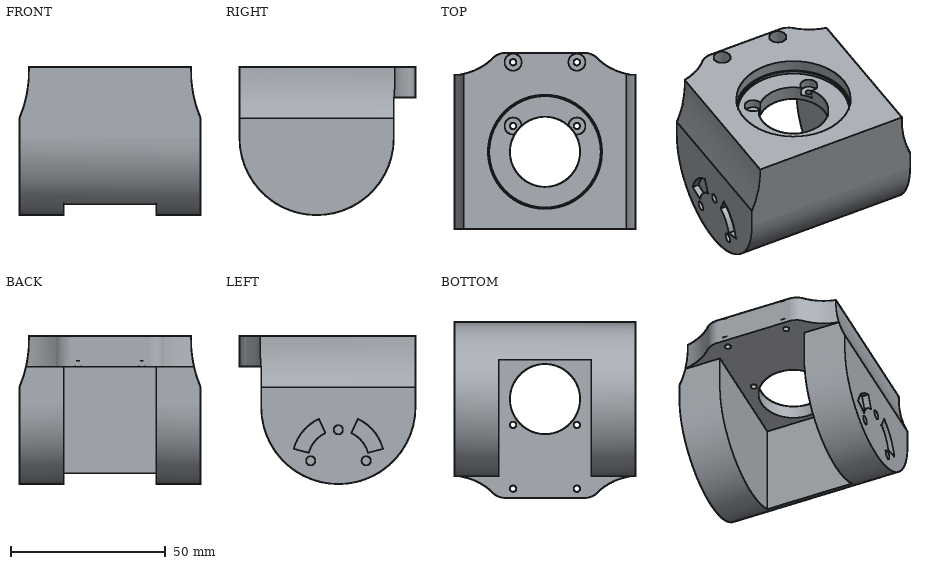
import cadquery as cq
import math

width = 58.6
depth = 50.0
height = 48.0
round_radius = depth / 2
center_y = depth / 2

top_half_width = 26.25
flank_mid_half_width = 26.95
flank_mid_z = 39.0
flank_bottom_z = 31.4

flange_end_y = 57.0
flange_thickness = 10.0
flange_flat_half_width = 13.0
shoulder_mid = (15.45, 56.4)
shoulder_end = (17.45, 54.75)
hollow_mid = (21.35, 52.05)
hollow_end = (27.9, depth)

slot_width = 29.9
slot_edge_z = 3.5
slot_front_y = center_y - math.sqrt(round_radius**2 - (round_radius - slot_edge_z) ** 2)

seat_diameter = 37.0
seat_depth = 4.0
step_diameter = 36.0
floor_depth = 5.0
bore_diameter = 22.6

screw_spacing = 20.6
screw_front_y = 33.35
screw_diameter = 2.0
screw_head_diameter = 5.5
screw_head_depth = 8.0

horn_z = 7.55
pin_diameter = 3.0
pin_depth = 5.85
pin_top_rise = 10.0
pin_side_offset = 8.95
pocket_inner_radius = 9.9
pocket_outer_radius = 14.95
pocket_start_angle = 15.0
pocket_end_angle = 65.0
pocket_depth = 2.2


def make_body():
    block = cq.Workplane("XY").box(width, depth, height - round_radius, centered=(True, False, False))
    block = block.translate((0, 0, round_radius))
    underside = cq.Workplane("YZ", origin=(-width / 2, center_y, round_radius)).circle(round_radius).extrude(width)
    return block.union(underside)


def make_flange():
    outline = (
        cq.Workplane("XY", origin=(0, 0, height - flange_thickness))
        .moveTo(0, center_y)
        .lineTo(hollow_end[0], center_y)
        .lineTo(*hollow_end)
        .threePointArc(hollow_mid, shoulder_end)
        .threePointArc(shoulder_mid, (flange_flat_half_width, flange_end_y))
        .lineTo(0, flange_end_y)
        .close()
    )
    half = outline.extrude(flange_thickness)
    return half.union(half.mirror("YZ"))


def make_flank_envelope():
    """Front profile of the body and flange, swept along their full Y length."""
    return (
        cq.Workplane("XZ")
        .moveTo(-width / 2, 0)
        .lineTo(width / 2, 0)
        .lineTo(width / 2, flank_bottom_z)
        .threePointArc((flank_mid_half_width, flank_mid_z), (top_half_width, height))
        .lineTo(-top_half_width, height)
        .threePointArc((-flank_mid_half_width, flank_mid_z), (-width / 2, flank_bottom_z))
        .close()
        .extrude(-flange_end_y)
    )


def make_slot():
    size = (slot_width, depth - slot_front_y, height - flange_thickness)
    return cq.Workplane("XY").box(*size, centered=(True, False, False)).translate((0, slot_front_y, 0))


def drill_down(x, y, diameter, hole_depth):
    return cq.Workplane("XY", origin=(x, y, height)).circle(diameter / 2).extrude(-hole_depth)


def make_horn_pocket():
    """Arc-shaped pocket on the +Y side of the horn centre."""

    def polar(radius, angle):
        turn = math.radians(angle)
        return radius * math.cos(turn), radius * math.sin(turn)

    middle_angle = (pocket_start_angle + pocket_end_angle) / 2
    return (
        cq.Workplane("YZ", origin=(-width / 2, center_y, horn_z))
        .moveTo(*polar(pocket_inner_radius, pocket_start_angle))
        .lineTo(*polar(pocket_outer_radius, pocket_start_angle))
        .threePointArc(
            polar(pocket_outer_radius, middle_angle),
            polar(pocket_outer_radius, pocket_end_angle),
        )
        .lineTo(*polar(pocket_inner_radius, pocket_end_angle))
        .threePointArc(
            polar(pocket_inner_radius, middle_angle),
            polar(pocket_inner_radius, pocket_start_angle),
        )
        .close()
        .extrude(pocket_depth)
    )


result = make_body().union(make_flange()).intersect(make_flank_envelope())
result = result.cut(make_slot())

result = result.cut(drill_down(0, center_y, seat_diameter, seat_depth))
result = result.cut(drill_down(0, center_y, step_diameter, floor_depth))
result = result.cut(drill_down(0, center_y, bore_diameter, flange_thickness))

for screw_x in (-screw_spacing / 2, screw_spacing / 2):
    for screw_y in (screw_front_y, screw_front_y + screw_spacing):
        result = result.cut(drill_down(screw_x, screw_y, screw_head_diameter, screw_head_depth))
        result = result.cut(drill_down(screw_x, screw_y, screw_diameter, flange_thickness))

pocket = make_horn_pocket()
result = result.cut(pocket)
result = result.cut(pocket.mirror("XZ", (0, center_y, 0)))
pin_positions = [(0, pin_top_rise), (-pin_side_offset, 0), (pin_side_offset, 0)]
pins = (
    cq.Workplane("YZ", origin=(-width / 2, center_y, horn_z))
    .pushPoints(pin_positions)
    .circle(pin_diameter / 2)
    .extrude(pin_depth)
)
result = result.cut(pins)